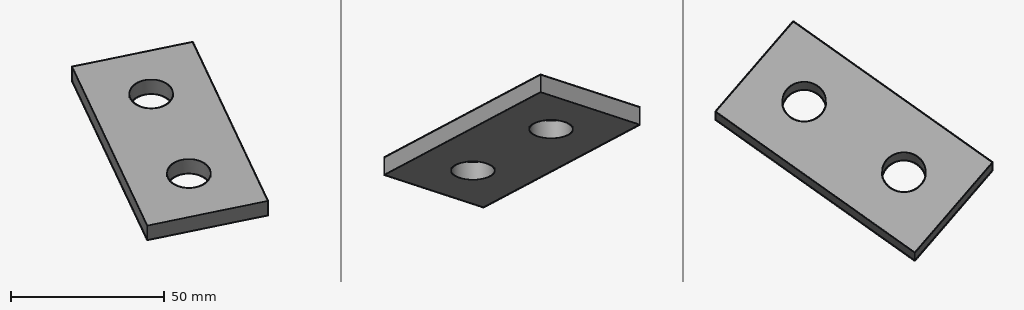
import cadquery as cq

length = 82.55
width = length / 2
thickness = 6.35

hole_diameter = 14.3
hole_spacing = length / 2

plate = cq.Workplane("XY").box(length, width, thickness)

result = (
    plate.faces(">Z")
    .workplane()
    .rarray(hole_spacing, width, 2, 1)
    .hole(hole_diameter)
)